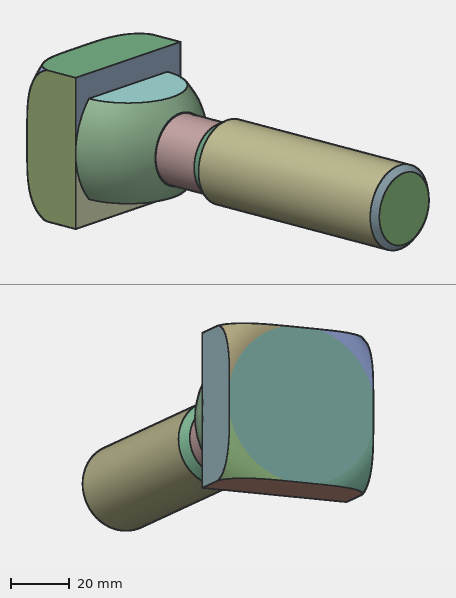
import cadquery as cq
import math

total_length = 147.0
head_size = 54.0
head_thickness = 22.0
head_face_radius = 27.5
head_round_radius = 10.7
ball_radius = head_size / 2
ball_flat_width = 35.9
neck_start = 45.7
neck_radius = 12.6
shank_radius = 15.0
shoulder_start = 63.0
shoulder_angle = 30
end_chamfer = 2.2


def revolve_about_x(profile):
    """Revolve a closed (x, radius) profile around the X axis."""
    return profile.revolve(360, (0, 0, 0), (1, 0, 0))


def make_head():
    """Square head with its front corners rounded by turning about the bolt axis."""
    block = cq.Workplane("XY").box(head_thickness, head_size, head_size, centered=(False, True, True))
    outer_radius = head_face_radius + head_round_radius
    arc_middle = (
        head_round_radius * (1 - math.cos(math.pi / 4)),
        head_face_radius + head_round_radius * math.sin(math.pi / 4),
    )
    envelope = revolve_about_x(
        cq.Workplane("XY")
        .lineTo(0, head_face_radius)
        .threePointArc(arc_middle, (head_round_radius, outer_radius))
        .lineTo(head_thickness, outer_radius)
        .lineTo(head_thickness, 0)
        .close()
    )
    return block.intersect(envelope)


def make_ball():
    """Half ball behind the head, flattened above and below and trimmed at the neck."""
    end_angle = math.acos((neck_start - head_thickness) / ball_radius)
    end_radius = ball_radius * math.sin(end_angle)
    mid_angle = (end_angle + math.pi / 2) / 2
    arc_middle = (
        head_thickness + ball_radius * math.cos(mid_angle),
        ball_radius * math.sin(mid_angle),
    )
    ball = revolve_about_x(
        cq.Workplane("XY")
        .moveTo(head_thickness, 0)
        .lineTo(head_thickness, ball_radius)
        .threePointArc(arc_middle, (neck_start, end_radius))
        .lineTo(neck_start, 0)
        .close()
    )
    flat_slab = cq.Workplane("XY").box(2 * total_length, 2 * head_size, ball_flat_width)
    return ball.intersect(flat_slab)


def make_shank():
    """Relieved neck, tapered shoulder and plain shank with a chamfered end."""
    shoulder_length = (shank_radius - neck_radius) / math.tan(math.radians(shoulder_angle))
    return revolve_about_x(
        cq.Workplane("XY")
        .moveTo(head_thickness, 0)
        .lineTo(head_thickness, neck_radius)
        .lineTo(shoulder_start, neck_radius)
        .lineTo(shoulder_start + shoulder_length, shank_radius)
        .lineTo(total_length - end_chamfer, shank_radius)
        .lineTo(total_length, shank_radius - end_chamfer)
        .lineTo(total_length, 0)
        .close()
    )


result = make_head().union(make_ball()).union(make_shank())